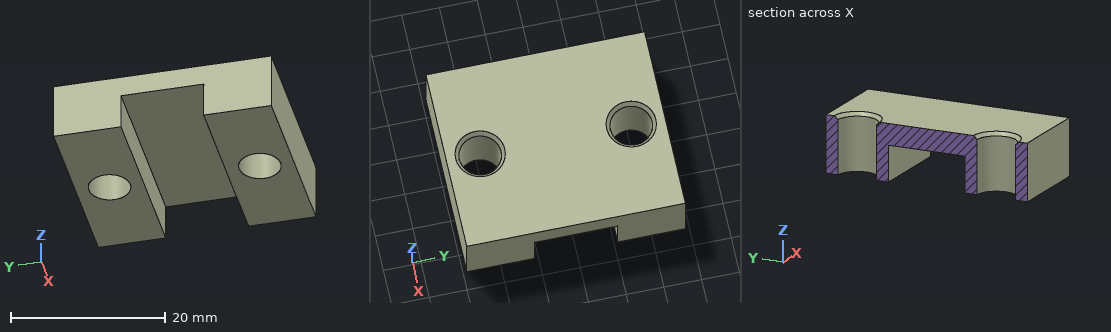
import cadquery as cq

width = 25.0
length = 29.0
height = 8.0

slot_width = 11.0
slot_depth = 5.0

hole_diameter = 5.5
hole_spacing = 20.0
hole_chamfer = 0.5


def make_block():
    """Plain block centred in X and Y, standing on Z = 0."""
    return cq.Workplane("XY").box(width, length, height, centered=(True, True, False))


def make_slot():
    """Rectangular channel along X, open at the bottom."""
    return cq.Workplane("XY").box(width, slot_width, slot_depth, centered=(True, True, False))


def make_hole(y):
    """Vertical through hole with a chamfered mouth on the top face."""
    radius = hole_diameter / 2
    mouth_radius = radius + hole_chamfer
    half_section = [
        (0, 0),
        (radius, 0),
        (radius, height - hole_chamfer),
        (mouth_radius, height),
        (0, height),
    ]
    hole = cq.Workplane("XZ").polyline(half_section).close().revolve(360, (0, 0, 0), (0, 1, 0))
    return hole.translate((0, y, 0))


result = make_block().cut(make_slot())
for side in (-1, 1):
    result = result.cut(make_hole(side * hole_spacing / 2))